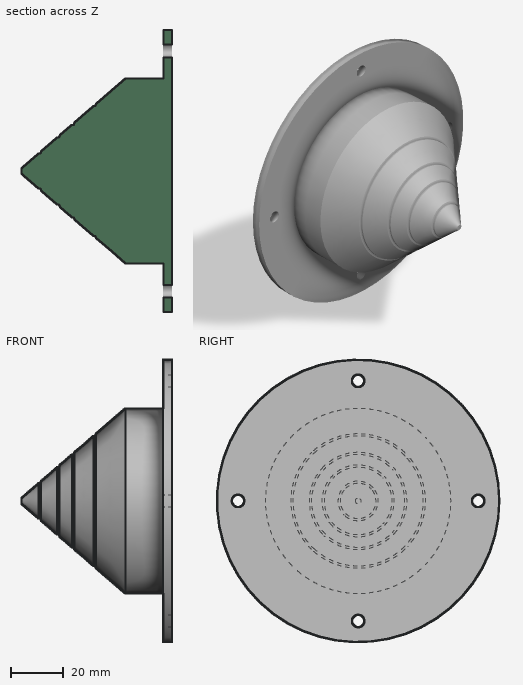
import cadquery as cq

total_length = 57.0
flange_diameter = 106.7
flange_thickness = 3.4

base_radius = 35.0
tip_radius = 1.1
cone_length = 39.3

groove_starts = (6.5, 13.5, 19.1, 27.2)
groove_width = 1.0
groove_floor_width = 0.6

hole_count = 4
hole_diameter = 4.6
hole_circle_radius = 45.3

flange_front = total_length - flange_thickness


def cone_radius(x):
    """Radius of the plain cone at distance x from its tip."""
    return tip_radius + (base_radius - tip_radius) * x / cone_length


def groove_points(start):
    """Front lip, floor corner and rear lip of one groove."""
    end = start + groove_width
    floor_radius = cone_radius(start)
    return [
        (start, floor_radius),
        (start + groove_floor_width, floor_radius),
        (end, cone_radius(end)),
    ]


def make_body():
    """Grooved cone and cylindrical base, turned in one piece with the flange."""
    profile = [(0, 0), (0, tip_radius)]
    for start in groove_starts:
        profile += groove_points(start)
    profile += [
        (cone_length, base_radius),
        (flange_front, base_radius),
        (flange_front, flange_diameter / 2),
        (total_length, flange_diameter / 2),
        (total_length, 0),
    ]
    return cq.Workplane("XY").polyline(profile).close().revolve(360, (0, 0, 0), (1, 0, 0))


def make_mounting_holes():
    """Cutters passing through the flange, with holes on the Y and Z axes."""
    return (
        cq.Workplane("YZ", origin=(flange_front, 0, 0))
        .polarArray(hole_circle_radius, 0, 360, hole_count)
        .circle(hole_diameter / 2)
        .extrude(flange_thickness)
    )


result = make_body().cut(make_mounting_holes())